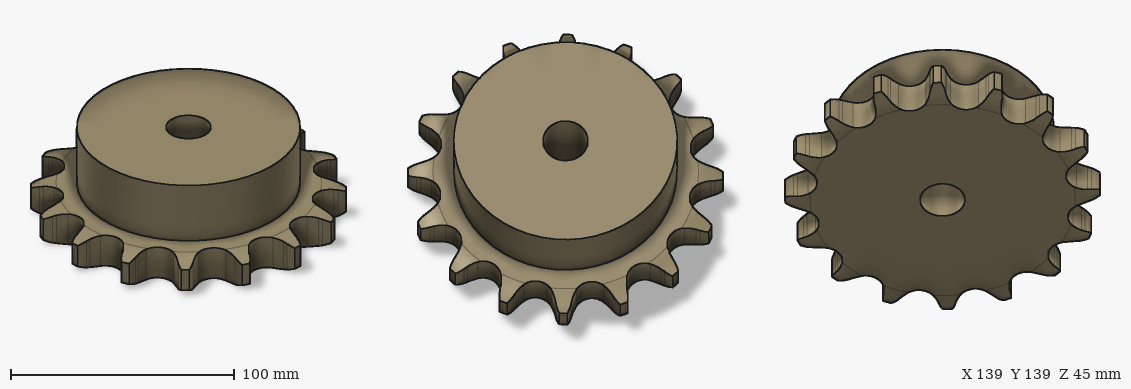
import cadquery as cq
import math

tooth_count = 16
outer_width = 139.0
pitch_radius = 65.0
roller_diameter = 15.8
seat_radius = 8.0

plate_thickness = 16.0
hub_diameter = 100.0
overall_height = 45.0
bore_diameter = 20.0

relief_radius = 25.5
relief_start_radius = 59.3

seat_angle = math.radians(35 + 60 / tooth_count)
working_angle = math.radians(18 - 56 / tooth_count)
half_pitch_angle = math.pi / tooth_count
flank_angle = seat_angle - working_angle
working_center_offset = 0.8 * roller_diameter
topping_center_offset = 1.4 * roller_diameter


def step(start, distance, angle):
    """Move from start by distance, angle measured downward from +X."""
    return (start[0] + distance * math.cos(angle), start[1] - distance * math.sin(angle))


def mirrored(point):
    return (-point[0], point[1])


seat_center = (0, pitch_radius)
seat_end = step(seat_center, seat_radius, seat_angle)
working_center = step(seat_center, -working_center_offset, seat_angle)
working_radius = working_center_offset + seat_radius
working_middle = step(working_center, working_radius, seat_angle - working_angle / 2)
working_end = step(working_center, working_radius, flank_angle)

topping_center = step(seat_center, topping_center_offset, half_pitch_angle)
flank_length = (
    (topping_center[0] - working_end[0]) * math.sin(flank_angle)
    + (topping_center[1] - working_end[1]) * math.cos(flank_angle)
)
flank_end = step(working_end, flank_length, flank_angle - math.pi / 2)
topping_radius = math.dist(topping_center, flank_end)

corner_y = outer_width / 2
topping_end_angle = math.asin((corner_y - topping_center[1]) / topping_radius)
topping_start_angle = math.asin((flank_end[1] - topping_center[1]) / topping_radius)
topping_middle_angle = (topping_start_angle + topping_end_angle) / 2
topping_middle = step(topping_center, -topping_radius, topping_middle_angle)
tooth_corner = step(topping_center, -topping_radius, topping_end_angle)
tip_radius = math.hypot(*tooth_corner)


def tooth_gap():
    """Cutter for one gap, closed by straight sides beyond the tooth tips."""
    cutter_top = (tooth_corner[0], tip_radius + seat_radius)
    return (
        cq.Workplane("XY")
        .moveTo(*seat_end)
        .threePointArc(working_middle, working_end)
        .lineTo(*flank_end)
        .threePointArc(topping_middle, tooth_corner)
        .lineTo(*cutter_top)
        .lineTo(*mirrored(cutter_top))
        .lineTo(*mirrored(tooth_corner))
        .threePointArc(mirrored(topping_middle), mirrored(flank_end))
        .lineTo(*mirrored(working_end))
        .threePointArc(mirrored(working_middle), mirrored(seat_end))
        .threePointArc((0, pitch_radius - seat_radius), seat_end)
        .close()
        .extrude(plate_thickness)
    )


def relief_drop(radius):
    """Axial distance of the rounded tooth side from the plate face at a radius."""
    run = radius - relief_start_radius
    return relief_radius - math.sqrt(relief_radius**2 - run**2)


def plate_blank():
    """Disc with both rim edges rounded, revolved about Z."""
    middle_radius = (relief_start_radius + tip_radius) / 2
    middle_drop = relief_drop(middle_radius)
    tip_drop = relief_drop(tip_radius)
    return (
        cq.Workplane("XZ")
        .lineTo(relief_start_radius, 0)
        .threePointArc((middle_radius, middle_drop), (tip_radius, tip_drop))
        .lineTo(tip_radius, plate_thickness - tip_drop)
        .threePointArc(
            (middle_radius, plate_thickness - middle_drop),
            (relief_start_radius, plate_thickness),
        )
        .lineTo(0, plate_thickness)
        .close()
        .revolve(360, (0, 0, 0), (0, 1, 0))
    )


def toothed_plate():
    plate = plate_blank()
    gap = tooth_gap()
    for index in range(tooth_count):
        plate = plate.cut(gap.rotate((0, 0, 0), (0, 0, 1), index * 360 / tooth_count))
    return plate


hub = cq.Workplane("XY").circle(hub_diameter / 2).extrude(overall_height)
bore = cq.Workplane("XY").circle(bore_diameter / 2).extrude(overall_height)

result = toothed_plate().union(hub).cut(bore)